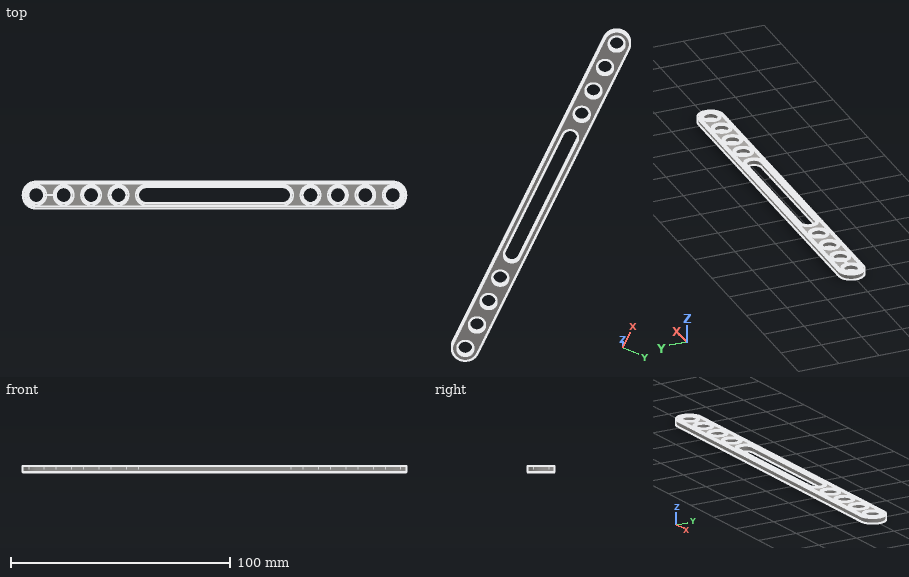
import cadquery as cq

length = 175.0
grid_units = 14
pitch = length / grid_units
width = pitch
thickness = pitch / 4

holes_per_end = 4
hole_diameter = 7.0
end_hole_x = (length - width) / 2
slot_center_distance = 2 * (end_hole_x - holes_per_end * pitch)

rim_width = 1.1
rim_diameter = hole_diameter + 2 * rim_width
panel_depth = 0.21
panel_z = thickness - panel_depth

edge_chamfer = 0.3

mark_length = 2.3
mark_width = 0.4
mark_x = pitch / 2 - end_hole_x


def openings(diameter, bottom, top):
    """Solids over all the holes and the slot, from height bottom to height top."""
    height = top - bottom
    hole_points = []
    for i in range(holes_per_end):
        x = end_hole_x - i * pitch
        hole_points += [(-x, 0), (x, 0)]
    plane = cq.Workplane("XY").workplane(offset=bottom)
    holes = plane.pushPoints(hole_points).circle(diameter / 2).extrude(height)
    slot = plane.slot2D(slot_center_distance + diameter, diameter).extrude(height)
    return holes.union(slot)


def pierced_bar():
    """Round-ended bar with all openings, chamfered on its top and bottom edges."""
    bar = cq.Workplane("XY").slot2D(length, width).extrude(thickness)
    bar = bar.cut(openings(hole_diameter, 0, thickness))
    return bar.faces("|Z").edges().chamfer(edge_chamfer)


def panel_recess():
    """Shallow recess inside the outer rim, leaving a rim around each opening."""
    recess = (
        cq.Workplane("XY")
        .workplane(offset=panel_z)
        .slot2D(length - 2 * rim_width, width - 2 * rim_width)
        .extrude(panel_depth)
    )
    return recess.cut(openings(rim_diameter, panel_z, thickness))


def raised_mark():
    """Thin bar standing on the panel, level with the rims."""
    return (
        cq.Workplane("XY")
        .box(mark_length, mark_width, panel_depth, centered=(True, True, False))
        .translate((mark_x, 0, panel_z))
    )


result = pierced_bar().cut(panel_recess()).union(raised_mark())